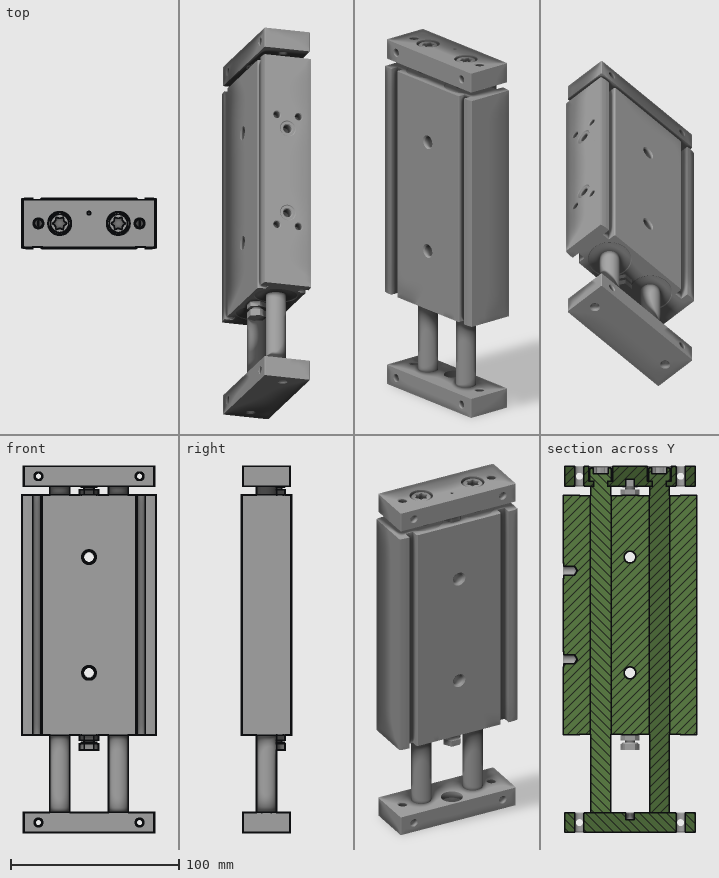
import cadquery as cq
import math

total_length = 218.0
plate_thickness = 12.0
lower_gap = 46.0
upper_gap = 5.0
housing_bottom = plate_thickness + lower_gap
housing_top = total_length - plate_thickness - upper_gap
housing_length = housing_top - housing_bottom
housing_middle = (housing_bottom + housing_top) / 2
top_plate_bottom = total_length - plate_thickness

housing_width = 80.0
housing_depth = 30.0
corner_chamfer = 0.7
corner_drop = 0.5
rounding_middle_drop = 0.15
slot_outer_x = 33.5
slot_inner_x = 28.5
slot_depth = 5.0
slot_edge_chamfer = 0.7
rounding_start_x = 36.2
mount_hole_offset = 34.5
mount_hole_diameter = 6.8
mount_hole_mouth = 8.5
port_offset = 26.4
port_spotface_diameter = 9.8
port_spotface_floor_diameter = 9.0
port_mouth_diameter = 6.0
port_diameter = 5.0
port_depth = 6.5
port_tip = 1.5
side_hole_y = 6.8
side_hole_mouth = 5.0
side_hole_diameter = 4.1
side_hole_depth = 6.5
gland_mouth_diameter = 26.0
gland_diameter = 25.0

rod_x = 17.5
rod_diameter = 12.0
rod_head_diameter = 13.0
rod_head_top_diameter = 11.0
rod_head_height = 8.0
rod_head_sink = 0.7
rod_head_top = total_length - rod_head_sink
rod_head_bottom = rod_head_top - rod_head_height
rod_neck_diameter = 8.0
socket_tip_diameter = 8.5
socket_root_diameter = 5.9
socket_depth = 3.7
socket_lobes = 6

plate_width = 78.0
plate_depth = 28.3
plate_corner_chamfer = 0.5
plate_hole_x = 30.0
end_hole_mouth = 6.0
end_hole_diameter = 5.0
cross_hole_mouth = 5.0
cross_hole_diameter = 4.1
counterbore_diameter = 14.0
vent_diameter = 2.0

stopper_y = 6.0
hex_across_flats = 10.0
hex_across_corners = hex_across_flats / math.cos(math.pi / 6)
stopper_thread_diameter = 6.0
stopper_embedded_length = 13.0
nut_height = 3.0
head_start = 4.4
head_end = 9.0
head_collar_diameter = 9.0
head_collar_height = 0.9
stopper_recess_diameter = 13.0
stopper_recess_depth = 4.1

SIDES = (-1, 1)
ALONG_X = (1, 0, 0)
ALONG_Y = (0, 1, 0)
ALONG_Z = (0, 0, 1)


def blind_hole(centre, direction, mouth, diameter, depth, tip=0):
    """A drilled hole: 45 degree countersunk mouth, then a bore with a flat or conical floor."""
    sink = (mouth - diameter) / 2
    profile = (
        cq.Workplane("XZ")
        .moveTo(0, 0)
        .lineTo(mouth / 2, 0)
        .lineTo(diameter / 2, -sink)
        .lineTo(diameter / 2, -depth)
        .lineTo(0, -depth - tip)
        .close()
        .revolve(360, (0, 0, 0), (0, 1, 0))
        .val()
    )
    outward = tuple(-part for part in direction)
    return cq.Workplane(profile.located(cq.Location(cq.Plane(origin=centre, normal=outward))))


def countersink(centre, direction, mouth, depth):
    """A 45 degree cone that narrows from `mouth` along `direction`."""
    cone = cq.Solid.makeCone(
        mouth / 2, mouth / 2 - depth, depth, cq.Vector(*centre), cq.Vector(*direction)
    )
    return cq.Workplane(cone)


def through_hole(start, direction, mouth, diameter, length):
    """A bore running `length` along `direction`, countersunk at 45 degrees at both ends."""
    sink = (mouth - diameter) / 2
    end = (cq.Vector(*start) + cq.Vector(*direction).multiply(length)).toTuple()
    backward = tuple(-part for part in direction)
    bore = cq.Workplane(cq.Plane(origin=start, normal=direction)).circle(diameter / 2).extrude(length)
    bore = bore.union(countersink(start, direction, mouth, sink))
    return bore.union(countersink(end, backward, mouth, sink))


def cylinder(x, y, bottom, top, diameter):
    return cq.Workplane("XY", origin=(x, y, bottom)).circle(diameter / 2).extrude(top - bottom)


def housing_block():
    """Extruded housing with two slots on each broad face, made from one quarter mirrored twice."""
    half_x = housing_width / 2
    half_y = housing_depth / 2
    slot_floor = half_y - slot_depth
    rounding_middle_x = (half_x - corner_chamfer + rounding_start_x) / 2
    quarter = (
        cq.Workplane("XY", origin=(0, 0, housing_bottom))
        .lineTo(half_x, 0)
        .lineTo(half_x, half_y - corner_chamfer)
        .lineTo(half_x - corner_chamfer, half_y - corner_drop)
        .threePointArc((rounding_middle_x, half_y - rounding_middle_drop), (rounding_start_x, half_y))
        .lineTo(slot_outer_x, half_y)
        .lineTo(slot_outer_x, slot_floor)
        .lineTo(slot_inner_x, slot_floor)
        .lineTo(slot_inner_x, half_y - slot_edge_chamfer)
        .lineTo(slot_inner_x - slot_edge_chamfer, half_y)
        .lineTo(0, half_y)
        .close()
        .extrude(housing_length)
    )
    half = quarter.union(quarter.mirror("YZ"))
    return half.union(half.mirror("XZ")).clean()


def gland_recess(x, end, inward):
    """Shallow bevelled recess around a rod where it leaves the housing."""
    bevel = (gland_mouth_diameter - gland_diameter) / 2
    return countersink((x, 0, end), (0, 0, inward), gland_mouth_diameter, bevel)


def mount_hole(z):
    start = (0, -housing_depth / 2, z)
    return through_hole(start, ALONG_Y, mount_hole_mouth, mount_hole_diameter, housing_depth)


def air_port(z):
    """Port on the -X side: a bevelled spotface with a countersunk, cone-tipped hole in its floor."""
    face_x = -housing_width / 2
    spotface_depth = (port_spotface_diameter - port_spotface_floor_diameter) / 2
    spotface = countersink((face_x, 0, z), ALONG_X, port_spotface_diameter, spotface_depth)
    floor = (face_x + spotface_depth, 0, z)
    hole = blind_hole(floor, ALONG_X, port_mouth_diameter, port_diameter, port_depth, port_tip)
    return spotface.union(hole)


def side_hole(y, z):
    start = (-housing_width / 2, y, z)
    return blind_hole(start, ALONG_X, side_hole_mouth, side_hole_diameter, side_hole_depth)


def make_housing(rods, stoppers):
    """Housing with its holes and recesses; the rods and stoppers cut their own matching bores."""
    body = housing_block()
    for side in SIDES:
        mount_z = housing_middle + side * mount_hole_offset
        body = body.cut(mount_hole(mount_z))
        body = body.cut(air_port(housing_middle + side * port_offset))
        for y in (-side_hole_y, side_hole_y):
            body = body.cut(side_hole(y, mount_z))
        for end, inward in ((housing_bottom, 1), (housing_top, -1)):
            body = body.cut(gland_recess(side * rod_x, end, inward))
    for insert in rods + stoppers:
        body = body.cut(insert)
    return body


def plate_block(bottom):
    """End plate with countersunk holes through its thickness and across its depth."""
    block = (
        cq.Workplane("XY", origin=(0, 0, bottom))
        .rect(plate_width, plate_depth)
        .extrude(plate_thickness)
        .edges("|Z")
        .chamfer(plate_corner_chamfer)
    )
    for x in (-plate_hole_x, plate_hole_x):
        block = block.cut(
            through_hole((x, 0, bottom), ALONG_Z, end_hole_mouth, end_hole_diameter, plate_thickness)
        )
        start = (x, -plate_depth / 2, bottom + plate_thickness / 2)
        block = block.cut(through_hole(start, ALONG_Y, cross_hole_mouth, cross_hole_diameter, plate_depth))
    return block


def make_bottom_plate():
    """Lower plate with a blind recess facing the lower stopper."""
    recess_floor = plate_thickness - stopper_recess_depth
    recess = cylinder(0, stopper_y, recess_floor, plate_thickness, stopper_recess_diameter)
    return plate_block(0).cut(recess)


def make_top_plate():
    """Upper plate with counterbores for the rod heads and a vented recess around the upper stopper."""
    plate = plate_block(top_plate_bottom)
    recess_top = top_plate_bottom + stopper_recess_depth
    plate = plate.cut(cylinder(0, stopper_y, top_plate_bottom, recess_top, stopper_recess_diameter))
    plate = plate.cut(cylinder(0, stopper_y, recess_top, total_length, vent_diameter))
    for x in (-rod_x, rod_x):
        plate = plate.cut(cylinder(x, 0, rod_head_bottom, total_length, counterbore_diameter))
        plate = plate.cut(cylinder(x, 0, top_plate_bottom, rod_head_bottom, rod_neck_diameter))
    return plate


def star_socket(x):
    """Six-lobed socket sunk into the top of a rod head."""
    points = []
    for corner in range(2 * socket_lobes):
        radius = (socket_root_diameter if corner % 2 else socket_tip_diameter) / 2
        angle = corner * math.pi / socket_lobes
        points.append((radius * math.cos(angle), radius * math.sin(angle)))
    floor = rod_head_top - socket_depth
    return cq.Workplane("XY", origin=(x, 0, floor)).polyline(points).close().extrude(socket_depth)


def make_rod(x):
    """Rod through the housing with a necked, socketed head held in the top plate."""
    shaft = cylinder(x, 0, plate_thickness, top_plate_bottom, rod_diameter)
    neck = cylinder(x, 0, top_plate_bottom, rod_head_bottom, rod_neck_diameter)
    head = (
        cylinder(x, 0, rod_head_bottom, rod_head_top, rod_head_diameter)
        .faces(">Z")
        .chamfer((rod_head_diameter - rod_head_top_diameter) / 2)
    )
    return shaft.union(neck).union(head).cut(star_socket(x))


def hexagon(bottom, top):
    base = cq.Workplane("XY", origin=(0, stopper_y, bottom))
    return base.polygon(6, hex_across_corners).extrude(top - bottom)


def make_stopper(end, outward):
    """Bolt and lock nut on a housing end; modelled pointing up from Z = 0, then placed."""
    thread = cylinder(0, stopper_y, -stopper_embedded_length, head_start, stopper_thread_diameter)
    collar = cq.Workplane(
        cq.Solid.makeCone(
            head_collar_diameter / 2,
            hex_across_flats / 2,
            head_collar_height,
            cq.Vector(0, stopper_y, head_start),
        )
    )
    head = hexagon(head_start + head_collar_height, head_end)
    stopper = hexagon(0, nut_height).union(thread).union(collar).union(head)
    if outward < 0:
        stopper = stopper.mirror("XY")
    return stopper.translate((0, 0, end))


rods = [make_rod(x) for x in (-rod_x, rod_x)]
stoppers = [make_stopper(housing_bottom, -1), make_stopper(housing_top, 1)]
housing = make_housing(rods, stoppers)
bottom_plate = make_bottom_plate()
top_plate = make_top_plate()

result = cq.Compound.makeCompound(
    [body.val() for body in [housing, bottom_plate, top_plate, *rods, *stoppers]]
)